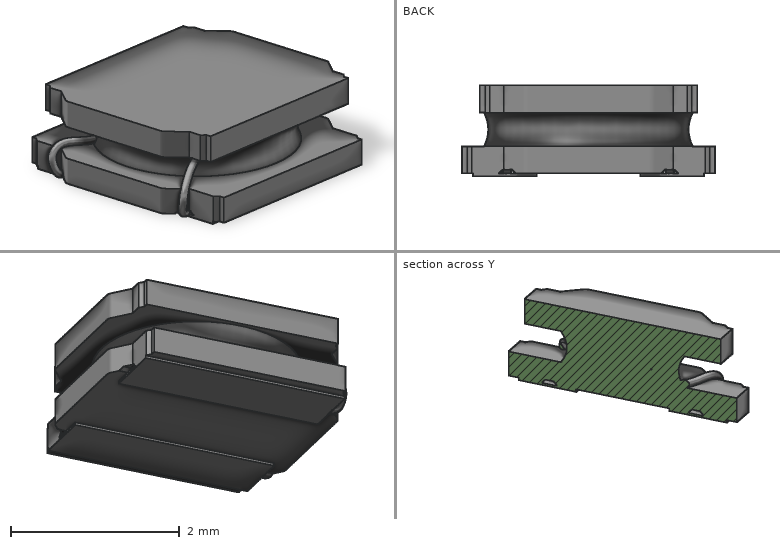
import cadquery as cq

side = 3.0
total_height = 1.08

pad_thickness = 0.033
base_thickness = 0.32
top_thickness = 0.327
top_half_width = 1.29
base_bottom = pad_thickness
base_top = base_bottom + base_thickness
top_bottom = total_height - top_thickness
notch_y = 1.248
shoulder_y = 1.3
notch_flat = 0.065
notch_width = 0.12
slope_start_x = 1.002
slope_end_x = 0.783
slope_end_y = 1.475
front_edge_x = 0.72

core_end_radius = 1.235
core_waist_radius = 1.188

pad_inner_x = 0.612
pad_outer_x = 1.368
groove_x = 0.963
groove_bottom_width = 0.198
groove_top_width = 0.108
groove_depth = 0.045

wire_radius = 0.048
wire_end_z = 0.05
left_wire_path = [
    (-0.795, -0.895, 0.417),
    (-0.955, -1.155, 0.41),
    (-1.02, -1.32, 0.39),
    (-1.035, -1.415, 0.3),
    (-1.008, -1.422, 0.165),
    (-0.972, -1.392, 0.08),
    (-groove_x, -1.302, wire_end_z),
]
right_wire_path = [
    (0.785, -0.93, 0.565),
    (0.875, -1.14, 0.5),
    (0.96, -1.308, 0.41),
    (1.008, -1.405, 0.315),
    (1.008, -1.422, 0.175),
    (0.98, -1.392, 0.08),
    (groove_x, -1.302, wire_end_z),
]


def flange(half_width, bottom, thickness):
    """Stepped plate: one extruded quarter mirrored across both axes."""
    quarter = (
        cq.Workplane("XY", origin=(0, 0, bottom))
        .polyline([
            (0, 0),
            (half_width, 0),
            (half_width, notch_y),
            (half_width - notch_flat, notch_y),
            (half_width - notch_width, shoulder_y),
            (slope_start_x, shoulder_y),
            (slope_end_x, slope_end_y),
        ])
        .tangentArcPoint((front_edge_x, side / 2), relative=False)
        .lineTo(0, side / 2)
        .close()
        .extrude(thickness)
    )
    half = quarter.union(quarter.mirror("XZ"))
    return half.union(half.mirror("YZ")).clean()


def core():
    """Round core with a shallow concave waist, running between the flanges."""
    return (
        cq.Workplane("XZ")
        .moveTo(0, base_top)
        .lineTo(core_end_radius, base_top)
        .threePointArc(
            (core_waist_radius, (base_top + top_bottom) / 2),
            (core_end_radius, top_bottom),
        )
        .lineTo(0, top_bottom)
        .close()
        .revolve(360, (0, 0), (0, 1))
    )


def groove(center_x):
    """Trapezoidal channel along Y in the underside of the base."""
    return (
        cq.Workplane("XZ", origin=(center_x, side / 2, base_bottom))
        .polyline([
            (-groove_bottom_width / 2, 0),
            (groove_bottom_width / 2, 0),
            (groove_top_width / 2, groove_depth),
            (-groove_top_width / 2, groove_depth),
        ])
        .close()
        .extrude(side)
    )


def pad(direction):
    """Thin rectangular contact under one side of the base."""
    return (
        cq.Workplane("XY")
        .center(direction * (pad_inner_x + pad_outer_x) / 2, 0)
        .rect(pad_outer_x - pad_inner_x, 2 * shoulder_y)
        .extrude(pad_thickness)
    )


def wire(points):
    """Round wire swept along a smooth curve from the core down to a pad."""
    path = cq.Workplane("XY").spline([cq.Vector(*point) for point in points])
    start = path.val().startPoint()
    direction = path.val().tangentAt(0)
    section = cq.Workplane(cq.Plane(origin=start, normal=direction))
    return section.circle(wire_radius).sweep(path)


base = flange(side / 2, base_bottom, base_thickness)
for direction in (-1, 1):
    base = base.cut(groove(direction * groove_x)).union(pad(direction))

result = base.union(core()).union(flange(top_half_width, top_bottom, top_thickness))
for wire_path in (left_wire_path, right_wire_path):
    result = result.union(wire(wire_path))